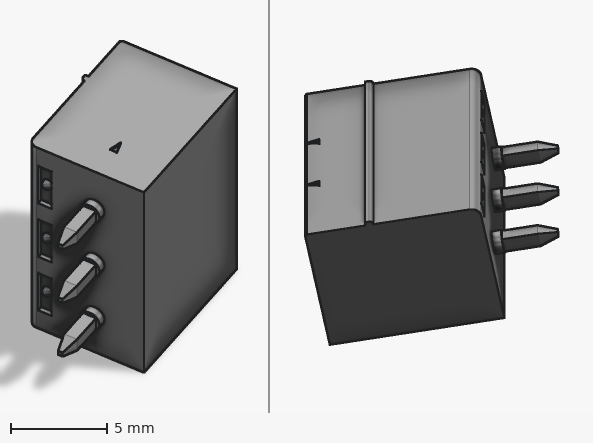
import cadquery as cq

width = 7.05
depth = 9.2
height = 12.82
corner_radius = 0.51
back_chamfer = 0.1

pin_count = 3
pin_pitch = 3.81
pin_x = 4.05
collar_diameter = 1.19
collar_length = 0.5
pin_size = 0.8
pin_length = 3.4
taper_length = 1.01
tip_size = 0.28

pocket_x = 1.03
pocket_width = 0.82
pocket_height = 2.64
pocket_depth = 0.31
dome_radius = 0.31

rib_back_y = 6.0
rib_flat_width = 0.2
rib_height = 0.2

mark_length = 0.75
mark_width = 0.41
mark_depth = 0.1
top_mark_y = 1.85

bottom_z = -height / 2
pin_levels = [(i - (pin_count - 1) / 2) * pin_pitch for i in range(pin_count)]
side_mark_levels = [(low + high) / 2 for low, high in zip(pin_levels, pin_levels[1:])]


def make_housing():
    """Block with one rounded front corner."""
    block = cq.Workplane("XY", origin=(0, 0, bottom_z)).rect(width, depth, centered=False).extrude(height)
    return block.edges("|Z and <X and <Y").fillet(corner_radius)


def make_rib():
    """Full-height rib, square at its back and a quarter round at its front."""
    flat_front_y = rib_back_y - rib_flat_width
    return (
        cq.Workplane("XY", origin=(0, 0, bottom_z))
        .moveTo(0, rib_back_y)
        .lineTo(-rib_height, rib_back_y)
        .lineTo(-rib_height, flat_front_y)
        .radiusArc((0, flat_front_y - rib_height), -rib_height)
        .close()
        .extrude(height)
    )


def make_back_chamfer():
    """Cutter for the back side edge, leaving it sharp beside each side mark."""
    cutter = (
        cq.Workplane("XY", origin=(0, 0, bottom_z))
        .polyline([(0, depth), (back_chamfer, depth), (0, depth - back_chamfer)])
        .close()
        .extrude(height)
    )
    for z in side_mark_levels:
        keeper = cq.Workplane("XY", origin=(0, depth, z)).box(2 * back_chamfer, 2 * back_chamfer, mark_width)
        cutter = cutter.cut(keeper)
    return cutter


def make_mark(plane):
    """Triangular cutter with its base midpoint at the plane origin, pointing along local Y."""
    half = mark_width / 2
    return cq.Workplane(plane).polyline([(-half, 0), (half, 0), (0, mark_length)]).close().extrude(-mark_depth)


def make_pin(z):
    """Round collar, square shank and tapered tip, pointing towards -Y."""
    base = cq.Workplane("XZ", origin=(pin_x, 0, z))
    shank_length = pin_length - taper_length
    collar = base.circle(collar_diameter / 2).extrude(collar_length)
    shank = base.rect(pin_size, pin_size).extrude(shank_length)
    tip = (
        base.workplane(offset=shank_length)
        .rect(pin_size, pin_size)
        .workplane(offset=taper_length)
        .rect(tip_size, tip_size)
        .loft(ruled=True)
    )
    return collar.union(shank).union(tip)


def make_pocket(z):
    """Rectangular pocket cutter that leaves a dome on the pocket floor."""
    pocket = (
        cq.Workplane("XZ", origin=(pocket_x, 0, z))
        .rect(pocket_width, pocket_height)
        .extrude(-pocket_depth)
    )
    dome = cq.Workplane("XY").sphere(dome_radius).translate((pocket_x, pocket_depth, z))
    return pocket.cut(dome)


result = make_housing().union(make_rib()).cut(make_back_chamfer())

for level in pin_levels:
    result = result.cut(make_pocket(level)).union(make_pin(level))

top_plane = cq.Plane(origin=(pin_x, top_mark_y, height / 2), xDir=(1, 0, 0), normal=(0, 0, 1))
result = result.cut(make_mark(top_plane))

for level in side_mark_levels:
    side_plane = cq.Plane(origin=(0, depth - mark_length, level), xDir=(0, 0, 1), normal=(-1, 0, 0))
    result = result.cut(make_mark(side_plane))